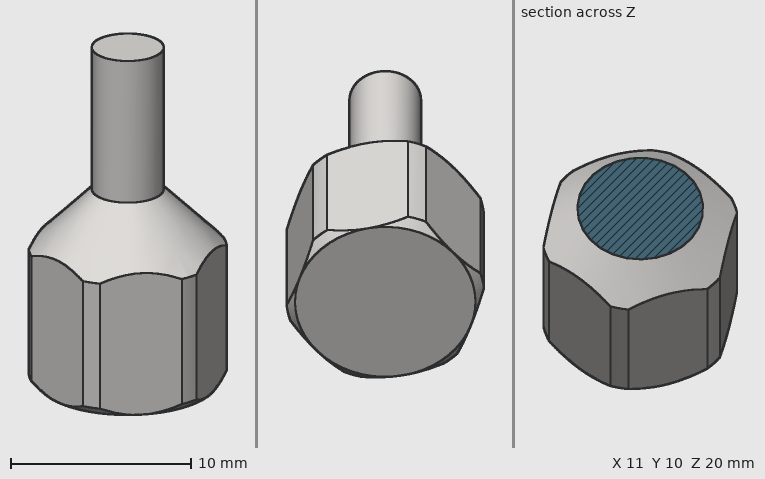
import cadquery as cq
import math

ACROSS_FLATS = 10.0
CORNER_DIAMETER = 11.0
STEM_DIAMETER = 4.0
TOTAL_HEIGHT = 20.0
SHOULDER_HEIGHT = 8.0
CONE_ANGLE = 45.0

corner_radius = CORNER_DIAMETER / 2
stem_radius = STEM_DIAMETER / 2
base_radius = ACROSS_FLATS / 2
slope = math.tan(math.radians(CONE_ANGLE))
chamfer_height = (corner_radius - base_radius) * slope
stem_start = SHOULDER_HEIGHT + (corner_radius - stem_radius) * slope


def turned_body():
    """Body of revolution about Z: chamfered base, cone shoulder and stem."""
    return (
        cq.Workplane("XZ")
        .moveTo(0, 0)
        .lineTo(base_radius, 0)
        .lineTo(corner_radius, chamfer_height)
        .lineTo(corner_radius, SHOULDER_HEIGHT)
        .lineTo(stem_radius, stem_start)
        .lineTo(stem_radius, TOTAL_HEIGHT)
        .lineTo(0, TOTAL_HEIGHT)
        .close()
        .revolve(360, (0, 0, 0), (0, 1, 0))
    )


def hexagonal_bar():
    """Full-height hexagonal bar with corners on the X axis."""
    across_corners = ACROSS_FLATS / math.cos(math.pi / 6)
    return cq.Workplane("XY").polygon(6, across_corners).extrude(TOTAL_HEIGHT)


result = turned_body().intersect(hexagonal_bar())